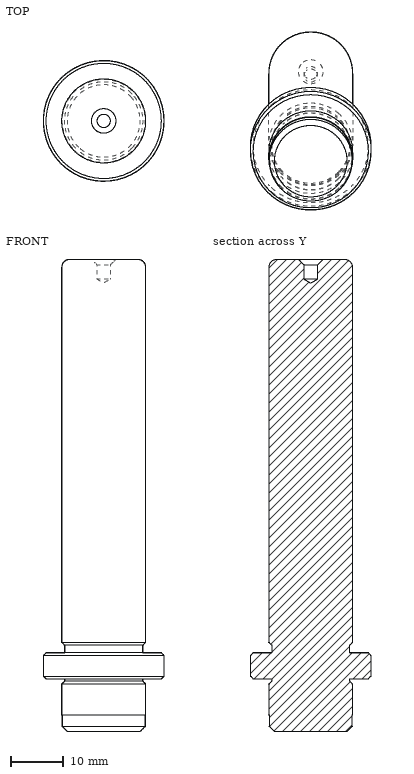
import cadquery as cq
import math

total_height = 90.0
shaft_radius = 8.0
top_round = 1.5

collar_radius = 11.5
collar_bottom = 10.0
collar_top = 15.0
collar_chamfer = 0.5

neck_radius = 7.5
upper_groove_height = 2.0
lower_groove_height = 0.9
groove_taper = 0.5

lead_radius = 7.9
lead_height = 3.15
end_chamfer = 1.0

countersink_radius = 2.3
pilot_radius = 1.3
countersink_angle = 90.0
pilot_length = 2.7
drill_tip_angle = 120.0


def cone_depth(radius_change, included_angle):
    """Axial length over which a cone changes radius by the given amount."""
    return radius_change / math.tan(math.radians(included_angle / 2))


def pin_body():
    """Revolve the stepped outside of the pin about Z."""
    lower_shoulder = collar_bottom - lower_groove_height
    upper_shoulder = collar_top + upper_groove_height
    round_start = total_height - top_round
    round_inner_radius = shaft_radius - top_round
    round_offset = top_round * math.sin(math.radians(45))
    round_middle = (round_inner_radius + round_offset, round_start + round_offset)
    collar_face_radius = collar_radius - collar_chamfer

    return (
        cq.Workplane("XZ")
        .moveTo(0, 0)
        .lineTo(lead_radius - end_chamfer, 0)
        .lineTo(lead_radius, end_chamfer)
        .lineTo(lead_radius, lead_height)
        .lineTo(shaft_radius, lead_height)
        .lineTo(shaft_radius, lower_shoulder)
        .lineTo(neck_radius, lower_shoulder + groove_taper)
        .lineTo(neck_radius, collar_bottom)
        .lineTo(collar_face_radius, collar_bottom)
        .lineTo(collar_radius, collar_bottom + collar_chamfer)
        .lineTo(collar_radius, collar_top - collar_chamfer)
        .lineTo(collar_face_radius, collar_top)
        .lineTo(neck_radius, collar_top)
        .lineTo(neck_radius, upper_shoulder - groove_taper)
        .lineTo(shaft_radius, upper_shoulder)
        .lineTo(shaft_radius, round_start)
        .threePointArc(round_middle, (round_inner_radius, total_height))
        .lineTo(0, total_height)
        .close()
        .revolve(360, (0, 0, 0), (0, 1, 0))
    )


def center_hole():
    """Revolve the countersink, pilot bore and conical drill tip."""
    countersink_bottom = total_height - cone_depth(countersink_radius - pilot_radius, countersink_angle)
    pilot_bottom = countersink_bottom - pilot_length
    tip_bottom = pilot_bottom - cone_depth(pilot_radius, drill_tip_angle)

    return (
        cq.Workplane("XZ")
        .moveTo(0, total_height)
        .lineTo(countersink_radius, total_height)
        .lineTo(pilot_radius, countersink_bottom)
        .lineTo(pilot_radius, pilot_bottom)
        .lineTo(0, tip_bottom)
        .close()
        .revolve(360, (0, 0, 0), (0, 1, 0))
    )


result = pin_body().cut(center_hole())